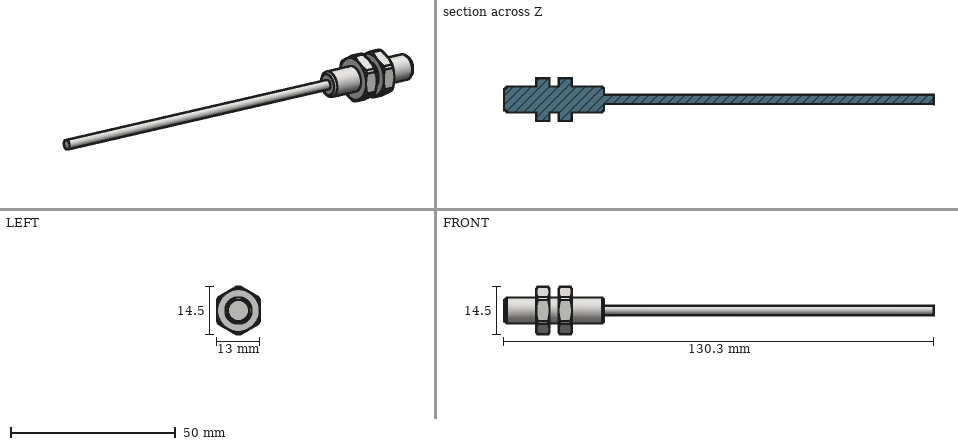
import cadquery as cq
import math

total_length = 130.3
body_length = 30.4
body_diameter = 8.0
body_end_diameter = 6.5
face_disc_thickness = 0.3
cable_diameter = 3.0

nut_starts = (9.8, 16.5)
nut_thickness = 4.0
nut_across_flats = 13.0
nut_corner_diameter = 14.5
nut_chamfer_angle = 30.0


def rod(start, length, diameter):
    """Solid cylinder along X."""
    return cq.Workplane("YZ", origin=(start, 0, 0)).circle(diameter / 2).extrude(length)


def make_body():
    """Sensor body with chamfered rims and a thin disc as the sensing face."""
    chamfer = (body_diameter - body_end_diameter) / 2
    barrel = rod(face_disc_thickness, body_length - face_disc_thickness, body_diameter)
    barrel = barrel.faces("<X or >X").chamfer(chamfer)
    return barrel.union(rod(0, face_disc_thickness, body_end_diameter))


def make_nut(start):
    """Hexagon nut with turned corners and conical chamfers on both faces."""
    across_corners = nut_across_flats / math.cos(math.radians(30))
    hexagon = (
        cq.Workplane("YZ", origin=(start, 0, 0))
        .transformed(rotate=(0, 0, 90))
        .polygon(6, across_corners)
        .extrude(nut_thickness)
    )

    face_radius = nut_across_flats / 2
    corner_radius = nut_corner_diameter / 2
    chamfer_depth = (corner_radius - face_radius) * math.tan(math.radians(nut_chamfer_angle))
    turned_envelope = (
        cq.Workplane("XY")
        .moveTo(start, 0)
        .lineTo(start, face_radius)
        .lineTo(start + chamfer_depth, corner_radius)
        .lineTo(start + nut_thickness - chamfer_depth, corner_radius)
        .lineTo(start + nut_thickness, face_radius)
        .lineTo(start + nut_thickness, 0)
        .close()
        .revolve(360, (0, 0, 0), (1, 0, 0))
    )
    return hexagon.intersect(turned_envelope)


result = make_body().union(rod(body_length, total_length - body_length, cable_diameter))
for nut_start in nut_starts:
    result = result.union(make_nut(nut_start))